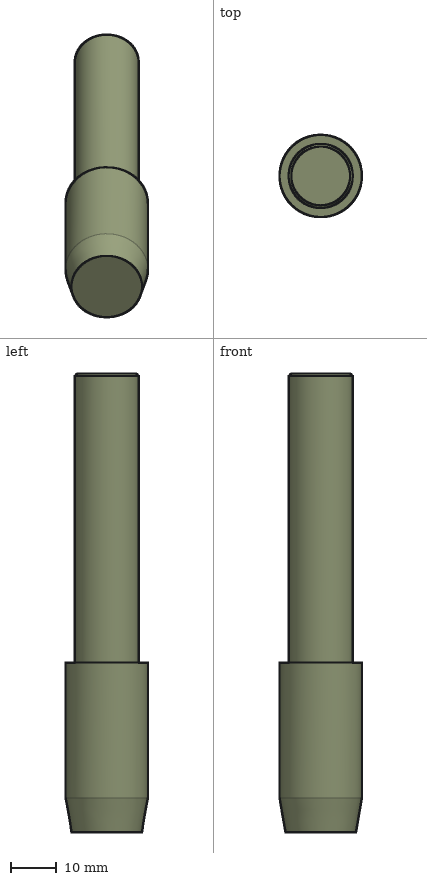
import cadquery as cq

total_length = 100.0

base_diameter = 18.0
base_length = 37.0
taper_length = 7.5
taper_end_diameter = 15.4

pin_diameter = 14.0
pin_length = total_length - base_length
pin_chamfer = 0.6


def make_base():
    """Solid round base that narrows towards its lower end."""
    base_radius = base_diameter / 2
    half_profile = [
        (0, 0),
        (taper_end_diameter / 2, 0),
        (base_radius, taper_length),
        (base_radius, base_length),
        (0, base_length),
    ]
    return cq.Workplane("XZ").polyline(half_profile).close().revolve(360, (0, 0), (0, 1))


def make_pin():
    """Round pin resting on the base, with a chamfered top edge."""
    rod = cq.Workplane("XY", origin=(0, 0, base_length)).circle(pin_diameter / 2).extrude(pin_length)
    return rod.faces(">Z").edges().chamfer(pin_chamfer)


base = make_base()
pin = make_pin()

result = cq.Compound.makeCompound([base.val(), pin.val()])